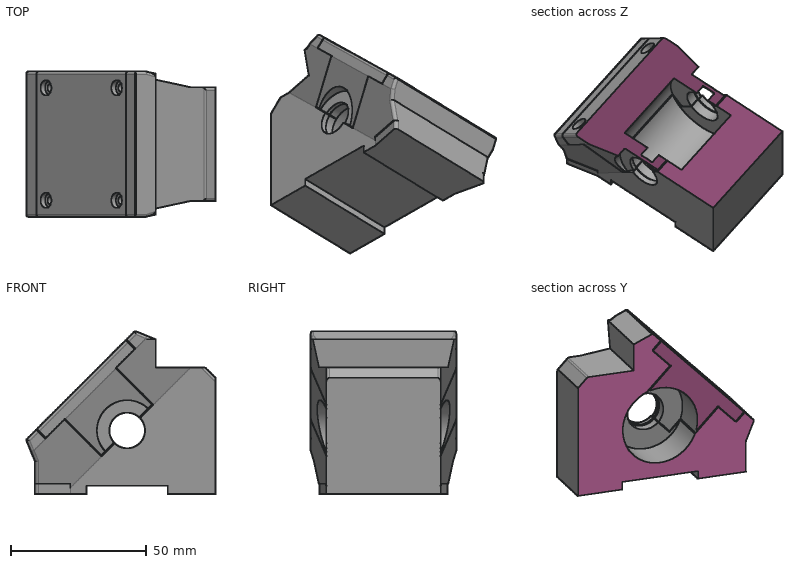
import cadquery as cq
import math

AXIS_HEIGHT = 23.5

LEFT_WALL_X = -34.2
RIGHT_WALL_X = 32.7
TIP_X = -37.27
PEAK_Z = 60.22
FACE_OFFSET = 24.0
CORNER_FLAT = 0.5
END_FACE_ANGLE = 22.5
NOTCH_X = 10.57
DECK_Z = 46.83
REAR_CHAMFER = 3.85
EDGE_ROUND = 1.1
ON_LINE_TOLERANCE = 1e-4

HEAD_WIDTH = 54.0
BASE_WIDTH = 42.2
SEAT_OFFSET = 19.3

FOOT_TOP = 3.85
FOOT_END_X = -21.1
CHANNEL_WIDTH = 30.0
CHANNEL_DEPTH = 3.0

PLATE_POCKET_LENGTH = 47.0
STEM_POCKET_LENGTH = 27.0
CLEARANCE = 0.2

BORE_DIAMETER = 13.1
BEARING_DIAMETER = 14.2
BEARING_WIDTH = 37.7
ROOM_DIAMETER = 29.5
ROOM_WIDTH = 29.8
RELIEF_DIAMETER = 22.4
RELIEF_FACE_GAP = 40.8

SCREW_PITCH_ALONG = 37.0
SCREW_PITCH_ACROSS = 41.6
SCREW_DIAMETER = 3.1
SCREW_HEAD_DIAMETER = 5.6
SCREW_HEAD_DEPTH = 2.4

OVERSIZE = 200.0

ROOT_HALF = math.sqrt(0.5)
END_SLOPE = math.tan(math.radians(END_FACE_ANGLE))


def sloped_plane():
    """Plane through the bore axis, parallel to the 45 degree face; local x runs up the slope."""
    return cq.Plane(origin=(0, 0, AXIS_HEIGHT), xDir=(1, 0, 1), normal=(-1, 0, 1))


def sloped_point(along, offset):
    """X and Z of a point given along the slope and square to it, from the bore axis."""
    return ((along - offset) * ROOT_HALF, AXIS_HEIGHT + (along + offset) * ROOT_HALF)


def prism(points, width):
    """XZ outline extruded evenly to both sides of Y = 0."""
    return cq.Workplane("XZ").polyline(points).close().extrude(width / 2, both=True)


def cross_cylinder(diameter, width):
    """Cylinder on the bore axis, centred on Y = 0."""
    return cq.Workplane("XZ").center(0, AXIS_HEIGHT).circle(diameter / 2).extrude(width / 2, both=True)


face_rise = AXIS_HEIGHT + FACE_OFFSET / ROOT_HALF
wall_bottom = (LEFT_WALL_X, 0)
wall_top = (LEFT_WALL_X, TIP_X + face_rise - CORNER_FLAT - (LEFT_WALL_X - TIP_X) / END_SLOPE)
notch_top = (NOTCH_X, PEAK_Z - (NOTCH_X - (PEAK_Z - face_rise + CORNER_FLAT)) * END_SLOPE)
corner_overhang = CORNER_FLAT * END_SLOPE / (1 + END_SLOPE)
tip = (TIP_X - corner_overhang, TIP_X - corner_overhang + face_rise)
peak = (PEAK_Z + corner_overhang - face_rise, PEAK_Z + corner_overhang)
chamfer_top = (RIGHT_WALL_X - REAR_CHAMFER, DECK_Z)
chamfer_bottom = (RIGHT_WALL_X, DECK_Z - REAR_CHAMFER)

OUTLINE = [
    wall_bottom, wall_top, tip, peak, notch_top,
    (NOTCH_X, DECK_Z), chamfer_top, chamfer_bottom, (RIGHT_WALL_X, 0),
]
ROUNDED = list(zip(OUTLINE[:4], OUTLINE[1:5])) + [(chamfer_top, chamfer_bottom)]


def is_rounded(edge):
    """True for a flank edge on a rounded stretch of the outline, and for the rear chamfer's cross edges."""
    middle = edge.positionAt(0.5)
    if abs(middle.y) < BASE_WIDTH / 4:
        return math.dist(chamfer_top, (middle.x, middle.z)) < ON_LINE_TOLERANCE
    for start, end in ROUNDED:
        to_start = math.dist(start, (middle.x, middle.z))
        to_end = math.dist(end, (middle.x, middle.z))
        if to_start + to_end - math.dist(start, end) < ON_LINE_TOLERANCE:
            return True
    return False


def make_envelope():
    section_plane = cq.Plane(origin=(0, 0, AXIS_HEIGHT), xDir=(0, 1, 0), normal=(1, 0, 1))
    half_base = BASE_WIDTH / 2
    half_head = HEAD_WIDTH / 2
    section = (
        cq.Workplane(section_plane)
        .polyline([
            (-half_base, -OVERSIZE), (half_base, -OVERSIZE), (half_base, 0), (half_head, SEAT_OFFSET),
            (half_head, OVERSIZE), (-half_head, OVERSIZE), (-half_head, SEAT_OFFSET), (-half_base, 0),
        ])
        .close()
        .extrude(OVERSIZE, both=True)
    )
    block = prism(OUTLINE, OVERSIZE).intersect(section)
    edges = [edge for edge in block.edges().vals() if is_rounded(edge)]
    limits = cq.Workplane("XY").box(
        RIGHT_WALL_X - TIP_X, HEAD_WIDTH, PEAK_Z, centered=(False, True, False)
    ).translate((TIP_X, 0, 0))
    sharp_space = cq.Workplane("XY").box(
        NOTCH_X - peak[0], HEAD_WIDTH, notch_top[1] - DECK_Z, centered=(False, True, False)
    ).translate((peak[0], 0, DECK_Z))
    rounded = block.newObject(edges).fillet(EDGE_ROUND)
    return rounded.intersect(limits).union(block.intersect(sharp_space))


def make_foot_space():
    """Block under the front of the housing that the foot fills."""
    return cq.Workplane("XY").box(
        FOOT_END_X - LEFT_WALL_X, OVERSIZE, FOOT_TOP, centered=(False, True, False)
    ).translate((LEFT_WALL_X, 0, 0))


def make_foot():
    """Foot with upright flanks that spread along the taper, from the base width to the left wall."""
    flank_slope = (HEAD_WIDTH - BASE_WIDTH) / 2 / SEAT_OFFSET * ROOT_HALF
    half_end = BASE_WIDTH / 2
    half_wall = half_end + (FOOT_END_X - LEFT_WALL_X) * flank_slope
    return (
        cq.Workplane("XY")
        .polyline([
            (LEFT_WALL_X, -half_wall), (FOOT_END_X, -half_end),
            (FOOT_END_X, half_end), (LEFT_WALL_X, half_wall),
        ])
        .close()
        .extrude(FOOT_TOP)
        .edges("|Z and <X")
        .fillet(EDGE_ROUND)
    )


def make_cover_space(clearance):
    """T-shaped prism of the cover, shrunk by a clearance at its two ends and at the stem's end face."""
    plate_half = PLATE_POCKET_LENGTH / 2 - clearance
    stem_half = STEM_POCKET_LENGTH / 2 - clearance
    corners = [
        (-plate_half, OVERSIZE), (-plate_half, SEAT_OFFSET), (-stem_half, SEAT_OFFSET),
        (-stem_half, clearance), (stem_half, clearance), (stem_half, SEAT_OFFSET),
        (plate_half, SEAT_OFFSET), (plate_half, OVERSIZE),
    ]
    return prism([sloped_point(along, offset) for along, offset in corners], OVERSIZE)


envelope = make_envelope()
bore = (
    cross_cylinder(BORE_DIAMETER, OVERSIZE)
    .union(cross_cylinder(BEARING_DIAMETER, BEARING_WIDTH))
    .union(cross_cylinder(ROOM_DIAMETER, ROOM_WIDTH))
)


def make_housing():
    channel = cq.Workplane("XY").box(CHANNEL_WIDTH, OVERSIZE, 2 * CHANNEL_DEPTH)
    return (
        envelope
        .cut(make_cover_space(0))
        .cut(make_foot_space())
        .union(make_foot())
        .cut(channel)
        .cut(bore)
    )


def make_cover():
    relief = cross_cylinder(RELIEF_DIAMETER, OVERSIZE).cut(
        cross_cylinder(RELIEF_DIAMETER, RELIEF_FACE_GAP)
    )
    screws = cq.Workplane(sloped_plane()).workplane(offset=FACE_OFFSET).rarray(
        SCREW_PITCH_ALONG, SCREW_PITCH_ACROSS, 2, 2
    )
    screw_holes = screws.circle(SCREW_DIAMETER / 2).extrude(SEAT_OFFSET - FACE_OFFSET)
    screw_heads = screws.circle(SCREW_HEAD_DIAMETER / 2).extrude(-SCREW_HEAD_DEPTH)
    return (
        envelope
        .intersect(make_cover_space(CLEARANCE))
        .cut(relief)
        .cut(bore)
        .cut(screw_holes)
        .cut(screw_heads)
    )


housing = make_housing().solids()
cover = make_cover().solids()
result = cq.Compound.makeCompound([housing.val(), cover.val()])